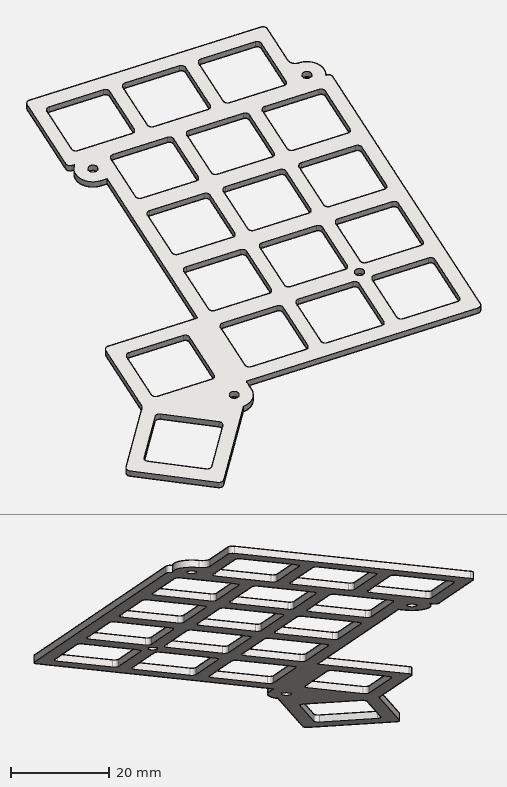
import cadquery as cq
import math

overall_length = 117.7
overall_depth = 85.6
thickness = 1.5

column_pitch = 18.0
row_pitch = 17.0
row_count = 3
main_column_count = 4
cutout_size = 14.0
cutout_corner_radius = 1.0

side_rim = 10.5
end_rim = 10.1
outer_end_rim = 9.9
plate_corner_radius = 1.0

outer_column_x = side_rim
outer_bottom_y = outer_end_rim
main_first_x = outer_column_x + column_pitch
main_last_x = main_first_x + (main_column_count - 1) * column_pitch
main_bottom_key_y = 16.0
thumb_x = main_last_x
thumb_y = -5.0

rows_span = (row_count - 1) * row_pitch
outer_right = 21.0
outer_top = outer_bottom_y + rows_span + outer_end_rim
main_left = 18.2
main_right = main_last_x + side_rim
main_bottom = main_bottom_key_y - end_rim
main_top = main_bottom_key_y + rows_span + end_rim
thumb_left = thumb_x - side_rim
thumb_bottom = thumb_y - end_rim

angled_thumb_turn = 35.0
turn_cos = math.cos(math.radians(angled_thumb_turn))
turn_sin = math.sin(math.radians(angled_thumb_turn))
corner_side = side_rim - plate_corner_radius
corner_end = end_rim - plate_corner_radius
angled_reach_right = corner_side * turn_cos + corner_end * turn_sin + plate_corner_radius
angled_reach_down = corner_side * turn_sin + corner_end * turn_cos + plate_corner_radius
angled_thumb_x = overall_length - angled_reach_right
angled_thumb_y = main_top - overall_depth + angled_reach_down
angled_inner_reach = 14.1

screw_diameter = 2.0
tab_radius = 3.9
tab_root_radius = 1.6
upper_tab = (16.6, 55.4)
lower_tab = (23.5, 4.5)
thumb_tab = (95.6, 3.4)
inner_screw = (73.4, 41.4)
tab_centers = [upper_tab, lower_tab, thumb_tab]


def slab(left, bottom, right, top):
    """Rectangular slab of the plate's thickness, from two opposite corners."""
    blank = cq.Workplane("XY").box(right - left, top - bottom, thickness, centered=False)
    return blank.translate((left, bottom, 0))


def rounded_slab(left, bottom, right, top):
    return slab(left, bottom, right, top).edges("|Z").fillet(plate_corner_radius)


def disc(center, diameter):
    return cq.Workplane("XY").center(*center).circle(diameter / 2).extrude(thickness)


def at_angled_thumb(shape):
    """Turn a shape built about the origin and move it to the angled thumb key."""
    turned = shape.rotate((0, 0, 0), (0, 0, 1), -angled_thumb_turn)
    return turned.translate((angled_thumb_x, angled_thumb_y, 0))


def plate_body():
    outer_column = rounded_slab(0, 0, outer_right, outer_top)
    main_block = rounded_slab(main_left, main_bottom, main_right, main_top)
    thumb_block = rounded_slab(thumb_left, thumb_bottom, main_right, main_bottom_key_y)
    angled_block = at_angled_thumb(rounded_slab(-angled_inner_reach, -end_rim, side_rim, end_rim))
    return outer_column.union(main_block).union(thumb_block).union(angled_block)


def add_screw_tabs(body):
    for center in tab_centers:
        body = body.union(disc(center, 2 * tab_radius))
    lower_x, lower_y = lower_tab
    body = body.union(slab(lower_x, lower_y, lower_x + tab_radius, main_bottom))
    thumb_tab_x, thumb_tab_y = thumb_tab
    body = body.union(slab(main_last_x, thumb_y, thumb_tab_x, thumb_tab_y + tab_radius))
    return body


def round_upper_tab_root(body):
    """Fillet the inside corner where the upper tab meets the outer column's top edge."""
    tab_x, tab_y = upper_tab
    root_x = tab_x - math.sqrt(tab_radius**2 - (tab_y - outer_top) ** 2)
    root = cq.NearestToPointSelector((root_x, outer_top, thickness / 2))
    return body.edges("|Z").edges(root).fillet(tab_root_radius)


def key_centers():
    columns = [(outer_column_x, outer_bottom_y)]
    for column in range(main_column_count):
        columns.append((main_first_x + column * column_pitch, main_bottom_key_y))
    centers = [(x, y + row * row_pitch) for x, y in columns for row in range(row_count)]
    centers.append((thumb_x, thumb_y))
    return centers


def cut_openings(body):
    cutout = cq.Workplane("XY").rect(cutout_size, cutout_size).extrude(thickness)
    cutout = cutout.edges("|Z").fillet(cutout_corner_radius)
    for x, y in key_centers():
        body = body.cut(cutout.translate((x, y, 0)))
    body = body.cut(at_angled_thumb(cutout))
    for center in tab_centers + [inner_screw]:
        body = body.cut(disc(center, screw_diameter))
    return body


plate = add_screw_tabs(plate_body()).clean()
plate = round_upper_tab_root(plate)
result = cut_openings(plate)